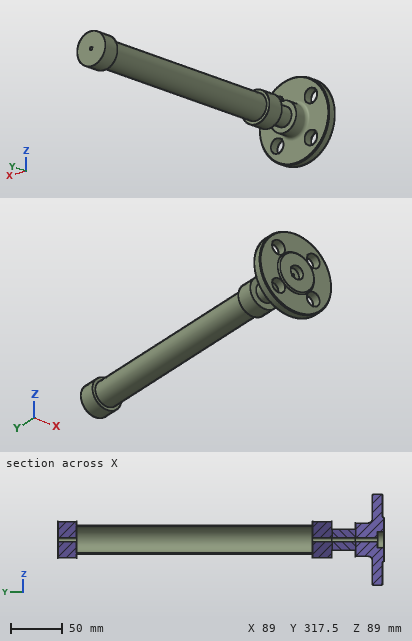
import cadquery as cq


overall_length = 317.5
passage_diameter = 3.2

flange_diameter = 89.0
flange_chamfer = 1.0
flange_back = 11.7
raised_face_height = 1.5
raised_face_diameter = 42.0
raised_face_root_diameter = 45.0
hub_diameter = 33.0
hub_fillet = 3.8
hub_end = 28.0
bolt_hole_diameter = 16.0
bolt_spacing = 43.0
counterbore_diameter = 15.2
counterbore_depth = 6.5

pipe_diameter = 21.3

collar_diameter = 35.5
collar_front = 50.8
collar_back = 70.0
collar_edge_break = 0.15

tube_diameter = 28.5
tube_bore_diameter = 25.5

cap_diameter = 36.0
cap_length = 18.5
cap_front = overall_length - cap_length


def cylinder(diameter, start, end):
    """Cylinder on the Y axis, from Y = start to Y = end."""
    return cq.Workplane("XZ", origin=(0, start, 0)).circle(diameter / 2).extrude(start - end)


def sleeve(outer_diameter, bore_diameter, start, end):
    """Cylinder on the Y axis with a through bore."""
    return cylinder(outer_diameter, start, end).cut(cylinder(bore_diameter, start, end))


def make_flange_blank():
    """Flange, tapered raised face and filleted hub as one turned shape."""
    rim_radius = flange_diameter / 2
    hub_radius = hub_diameter / 2
    return (
        cq.Workplane("XY")
        .moveTo(0, 0)
        .lineTo(raised_face_diameter / 2, 0)
        .lineTo(raised_face_root_diameter / 2, raised_face_height)
        .lineTo(rim_radius - flange_chamfer, raised_face_height)
        .lineTo(rim_radius, raised_face_height + flange_chamfer)
        .lineTo(rim_radius, flange_back - flange_chamfer)
        .lineTo(rim_radius - flange_chamfer, flange_back)
        .lineTo(hub_radius + hub_fillet, flange_back)
        .radiusArc((hub_radius, flange_back + hub_fillet), hub_fillet)
        .lineTo(hub_radius, hub_end)
        .lineTo(0, hub_end)
        .close()
        .revolve(360, (0, 0), (0, 1))
    )


def make_flange():
    bolt_holes = (
        cq.Workplane("XZ")
        .rect(bolt_spacing, bolt_spacing, forConstruction=True)
        .vertices()
        .circle(bolt_hole_diameter / 2)
        .extrude(-flange_back)
    )
    counterbore = cylinder(counterbore_diameter, 0, counterbore_depth)
    passage = cylinder(passage_diameter, 0, hub_end)
    return make_flange_blank().cut(bolt_holes).cut(counterbore).cut(passage)


def make_pipe():
    return sleeve(pipe_diameter, passage_diameter, hub_end, collar_front)


def make_collar():
    blank = cylinder(collar_diameter, collar_front, collar_back)
    blank = blank.faces(">Y").edges().chamfer(collar_edge_break)
    return blank.cut(cylinder(passage_diameter, collar_front, collar_back))


def make_tube():
    return sleeve(tube_diameter, tube_bore_diameter, collar_back, cap_front)


def make_cap():
    return sleeve(cap_diameter, passage_diameter, cap_front, overall_length)


flange = make_flange()
pipe = make_pipe()
collar = make_collar()
tube = make_tube()
cap = make_cap()

result = cq.Compound.makeCompound(
    [flange.val(), pipe.val(), collar.val(), tube.val(), cap.val()]
)